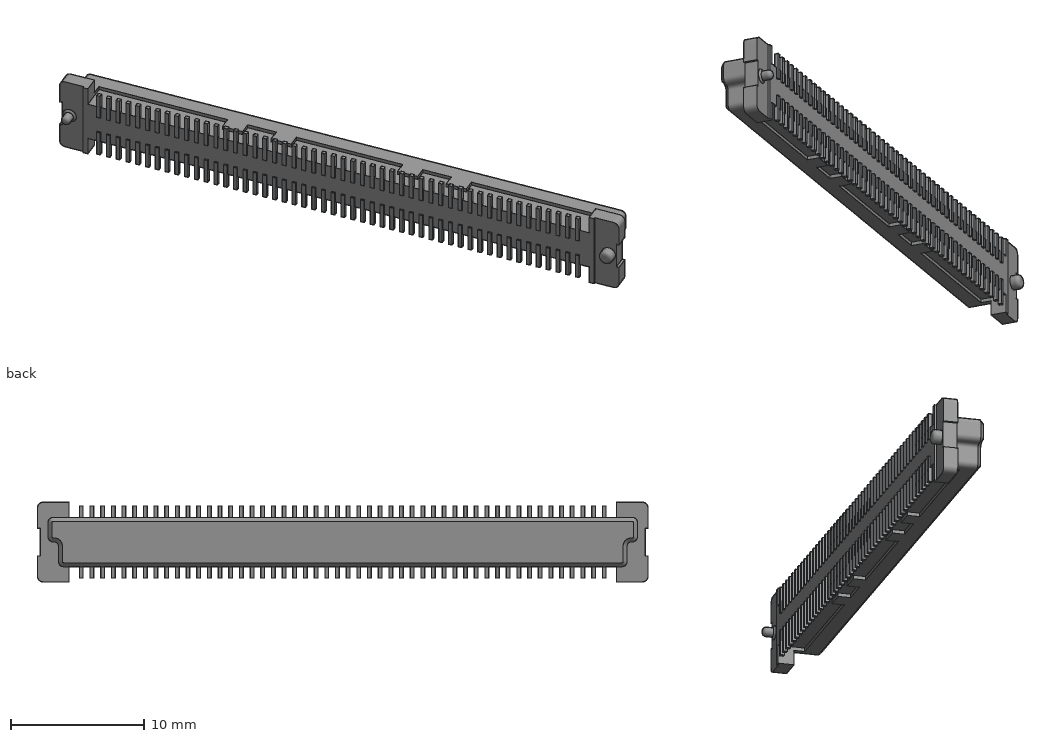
import cadquery as cq


length = 45.8
block_height = 6.0
mating_face_y = 3.7
peg_tip_y = -0.65

shroud_length = 44.2
shroud_height = 3.7
shroud_corner_radius = 0.4
shroud_rim_chamfer = 0.298
key_step = 0.8
key_inner_radius = 0.298

base_y = 0.15
ledge_y = 2.2
tab_end_y = 1.25
recess_depth = 0.27
tab_width = 1.65
tab_centers = (5.18, 9.15)

block_width = 2.4
block_top_y = 1.37
block_relief = 0.15
block_foot_width = 0.4
block_corner_radius = 0.45
end_notch_depth = 0.205
end_notch_height = 2.05

pins_per_row = 50
pin_row_span = 39.2
pin_size = 0.298
pin_inner_z = 0.7
pin_outer_z = 2.7

peg_inset = 0.82
peg_tip_radius = 0.298
peg_skirt_length = 0.15
small_peg_diameter = 0.75
large_peg_diameter = 1.1
large_peg_shortfall = 0.2

block_face_y = base_y + block_relief
half_length = length / 2
recess_length = length - 2 * block_width


def box(x_range, y_range, z_range):
    """Box between two limits on each axis."""
    corner = (x_range[0], y_range[0], z_range[0])
    sizes = (r[1] - r[0] for r in (x_range, y_range, z_range))
    return cq.Workplane("XY").box(*sizes, centered=False).translate(corner)


def both_rows(upper):
    """The shape together with its mirror image below Z = 0."""
    return upper.union(upper.mirror("XY"))


def make_shroud():
    """Rounded bar whose lower half is shorter at both ends, which keys the mating part."""
    half_long = shroud_length / 2
    half_short = half_long - key_step
    half_height = shroud_height / 2
    y_range = (block_face_y, mating_face_y)
    upper = box((-half_long, half_long), y_range, (0, half_height))
    upper = upper.edges("|Y").fillet(shroud_corner_radius)
    lower = box((-half_short, half_short), y_range, (-half_height, 0))
    lower = lower.faces("<Z").edges("|Y").fillet(shroud_corner_radius)
    shroud = upper.union(lower)
    for side in (-1, 1):
        inner_corner = cq.NearestToPointSelector((side * half_short, (block_face_y + mating_face_y) / 2, 0))
        shroud = shroud.edges("|Y").edges(inner_corner).fillet(key_inner_radius)
    return shroud.faces(">Y").chamfer(shroud_rim_chamfer)


def make_base():
    """Slab between the end blocks that carries the pins below the shroud."""
    half_height = shroud_height / 2 - recess_depth
    half_base = recess_length / 2
    return box((-half_base, half_base), (base_y, block_face_y), (-half_height, half_height))


def make_side_recess():
    """Shallow cut along the upper side, interrupted by tabs that reach lower than the ledge."""
    z_range = (shroud_height / 2 - recess_depth, shroud_height / 2)
    half_recess = recess_length / 2
    recess = box((-half_recess, half_recess), (block_face_y, ledge_y), z_range)
    for side in (-1, 1):
        for center in tab_centers:
            x = side * center
            recess = recess.cut(box((x - tab_width / 2, x + tab_width / 2), (tab_end_y, ledge_y), z_range))
    return recess


def make_left_block():
    """End block with rounded outer corners, a shallow end notch and a foot along its inner edge."""
    outer_x = -half_length
    inner_x = outer_x + block_width
    z_range = (-block_height / 2, block_height / 2)
    block = box((outer_x, inner_x), (block_face_y, block_top_y), z_range)
    block = block.edges("|Y and <X").fillet(block_corner_radius)
    foot = box((inner_x - block_foot_width, inner_x), (base_y, block_face_y), z_range)
    notch = box(
        (outer_x, outer_x + end_notch_depth),
        (block_face_y, block_top_y),
        (-end_notch_height / 2, end_notch_height / 2),
    )
    return block.union(foot).cut(notch)


def make_upper_pins():
    """Row of square pins lying half sunk in the base."""
    pitch = pin_row_span / (pins_per_row - 1)
    centers = [(-pin_row_span / 2 + i * pitch, pin_size / 2) for i in range(pins_per_row)]
    return (
        cq.Workplane("XY", origin=(0, 0, pin_inner_z))
        .pushPoints(centers)
        .rect(pin_size, pin_size)
        .extrude(pin_outer_z - pin_inner_z)
    )


def make_peg(x, diameter, tip_y):
    """Round locating peg with a rounded tip, pointing toward -Y."""
    peg = cq.Workplane("XZ", origin=(x, block_face_y, 0)).circle(diameter / 2).extrude(block_face_y - tip_y)
    return peg.faces("<Y").edges().fillet(peg_tip_radius)


def make_peg_skirt(x):
    """Short cone that widens the root of the small peg to the large peg's diameter."""
    return (
        cq.Workplane("XZ", origin=(x, block_face_y, 0))
        .circle(large_peg_diameter / 2)
        .workplane(offset=peg_skirt_length)
        .circle(small_peg_diameter / 2)
        .loft()
    )


left_block = make_left_block()
peg_x = half_length - peg_inset

result = make_shroud().cut(both_rows(make_side_recess())).union(make_base())
result = result.union(left_block).union(left_block.mirror("YZ"))
result = result.union(both_rows(make_upper_pins()))
result = result.union(make_peg(-peg_x, small_peg_diameter, peg_tip_y)).union(make_peg_skirt(-peg_x))
result = result.union(make_peg(peg_x, large_peg_diameter, peg_tip_y + large_peg_shortfall))